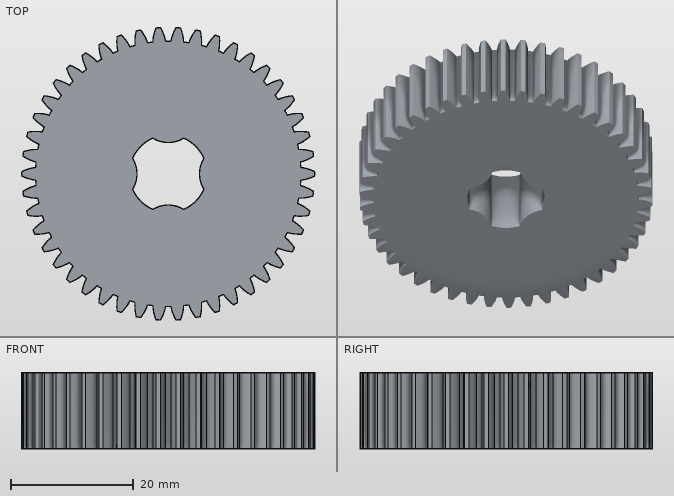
import cadquery as cq
import math

module = 1.0
tooth_count = 46
pressure_angle = math.radians(20)
face_width = 12.5
dedendum = 1.25 * module
pitch_radius = module * tooth_count / 2
tip_radius = pitch_radius + module
root_radius = pitch_radius - dedendum
base_radius = pitch_radius * math.cos(pressure_angle)
flank_points = 6

bore_radius = 6.35
lobe_count = 4
lobe_tip_distance = 5.1
lobe_radius = 4.8


def involute(angle):
    return math.tan(angle) - angle


def half_tooth_angle(radius):
    """Half of the angle that one tooth spans at the given radius."""
    local_pressure_angle = math.acos(base_radius / radius)
    half_angle_at_pitch = math.pi / (2 * tooth_count)
    return half_angle_at_pitch + involute(pressure_angle) - involute(local_pressure_angle)


def polar(radius, angle):
    return (radius * math.cos(angle), radius * math.sin(angle))


def gear_blank():
    """Toothed disc with a tooth centred on +X."""
    pitch_angle = 2 * math.pi / tooth_count
    radius_step = (tip_radius - root_radius) / (flank_points - 1)
    flank_radii = [root_radius + i * radius_step for i in range(flank_points)]
    root_half_angle = half_tooth_angle(root_radius)

    outline = cq.Workplane("XY").moveTo(*polar(root_radius, -root_half_angle))
    for tooth in range(tooth_count):
        center = tooth * pitch_angle
        rising = [polar(r, center - half_tooth_angle(r)) for r in flank_radii]
        falling = [polar(r, center + half_tooth_angle(r)) for r in reversed(flank_radii)]
        gap_middle = polar(root_radius, center + pitch_angle / 2)
        gap_end = polar(root_radius, center + pitch_angle - root_half_angle)
        outline = outline.spline(rising[1:], includeCurrent=True)
        outline = outline.threePointArc(polar(tip_radius, center), falling[0])
        outline = outline.spline(falling[1:], includeCurrent=True)
        outline = outline.threePointArc(gap_middle, gap_end)
    return outline.close().extrude(face_width)


def lobed_bore():
    """Solid that fills the bore: a cylinder scalloped by the lobes."""
    lobe_center_distance = lobe_tip_distance + lobe_radius
    lobes = (
        cq.Workplane("XY")
        .polarArray(lobe_center_distance, 0, 360, lobe_count)
        .circle(lobe_radius)
        .extrude(face_width)
    )
    return cq.Workplane("XY").circle(bore_radius).extrude(face_width).cut(lobes)


result = gear_blank().cut(lobed_bore())